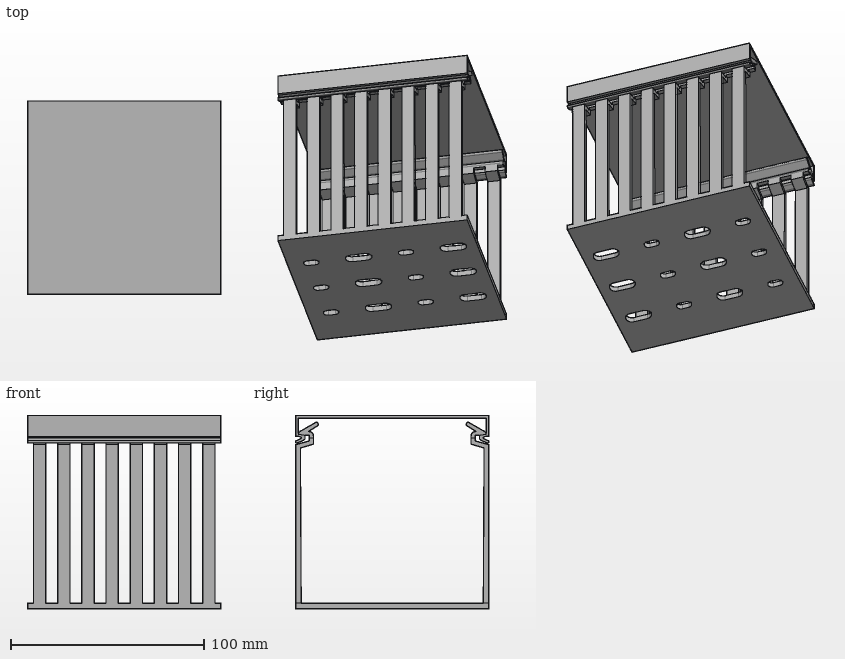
import cadquery as cq

length = 100.0
width = 100.0
height = 100.0
half_width = width / 2

base_thickness = 3.0
wall_root = 3.0
wall_top = 2.6

shoulder_outer_drop = 15.1
shoulder_inner_drop = 16.9
web_outer_inset = 7.0
web_inner_inset = 9.3
web_foot_outer_drop = 13.2
web_foot_inner_drop = 14.9
rail_bottom_drop = 11.7
bulge_end_drop = 10.6

catch_inset = 1.5
catch_drop = 9.8
catch_end_inset = 4.9
catch_end_drop = 10.3

finger_count = 8
finger_width = 6.5
finger_pitch = length / finger_count
slot_width = finger_pitch - finger_width
slot_depth = 12.0

long_hole_length = 13.8
long_hole_width = 6.5
short_hole_length = 8.0
short_hole_width = 4.5
hole_columns = 4
hole_rows = 3
hole_pitch_x = length / hole_columns
hole_pitch_y = width / (hole_rows + 1)

cover_thickness = 1.5
cover_side_drop = 10.8


def place(inset, drop):
    """Turn an inset and a drop at the -Y side into section coordinates (Y, Z)."""
    return (inset - half_width, height - drop)


def extrude_section(section):
    """Extrude a closed YZ section over the full length."""
    return section.close().extrude(length / 2, both=True)


def make_wall():
    """One full-length side wall with its snap rail, at the -Y side."""
    section = (
        cq.Workplane("YZ")
        .moveTo(*place(0, height))
        .lineTo(*place(0, shoulder_outer_drop))
        .lineTo(*place(web_outer_inset, web_foot_outer_drop))
        .lineTo(*place(web_outer_inset, catch_end_drop))
        .lineTo(*place(catch_end_inset, catch_end_drop))
        .lineTo(*place(catch_inset, catch_drop))
        .lineTo(*place(catch_inset, 9.2))
        .lineTo(*place(2.2, 8.3))
        .lineTo(*place(10.6, 3.5))
        .threePointArc(place(11.7, 4.1), place(11.4, 5.4))
        .lineTo(*place(7.7, 7.7))
        .lineTo(*place(6.8, 8.3))
        .lineTo(*place(7.7, 8.4))
        .threePointArc(place(8.8, 9.2), place(web_inner_inset, bulge_end_drop))
        .lineTo(*place(web_inner_inset, web_foot_inner_drop))
        .lineTo(*place(wall_top, shoulder_inner_drop))
        .lineTo(*place(wall_root, height - base_thickness))
        .lineTo(*place(wall_root, height))
    )
    return extrude_section(section)


def make_side_slots():
    """Cutters for the gaps between the fingers of the -Y wall, with half gaps at both ends."""
    slot_height = height - rail_bottom_drop - base_thickness
    centers = [(i * finger_pitch - length / 2, -half_width) for i in range(finger_count + 1)]
    return (
        cq.Workplane("XY", origin=(0, 0, base_thickness))
        .pushPoints(centers)
        .rect(slot_width, 2 * slot_depth)
        .extrude(slot_height)
    )


def make_base_holes():
    """Cutters for rows of holes along X, alternately long and short."""
    holes = cq.Workplane("XY")
    for column in range(hole_columns):
        if column % 2 == 0:
            hole_length, hole_width = long_hole_length, long_hole_width
        else:
            hole_length, hole_width = short_hole_length, short_hole_width
        x = (column - (hole_columns - 1) / 2) * hole_pitch_x
        for row in range(hole_rows):
            y = (row - (hole_rows - 1) / 2) * hole_pitch_y
            hole = cq.Workplane("XY").center(x, y).slot2D(hole_length, hole_width).extrude(base_thickness)
            holes = holes.add(hole)
    return holes.combine()


def make_duct():
    """Base plate with two slotted walls."""
    base = cq.Workplane("XY").box(length, width, base_thickness, centered=(True, True, False))
    base = base.cut(make_base_holes())
    wall = make_wall().cut(make_side_slots())
    return base.union(wall).union(wall.mirror("XZ"))


def make_cover_side():
    """One side of the cover with its folded snap lip, at the -Y side."""
    section = (
        cq.Workplane("YZ")
        .moveTo(*place(0, 0))
        .lineTo(*place(0, cover_side_drop))
        .lineTo(*place(cover_thickness, cover_side_drop))
        .lineTo(*place(2.8, 11.3))
        .lineTo(*place(3.0, 11.8))
        .lineTo(*place(0.7, 12.9))
        .threePointArc(place(0, 13.6), place(0.7, 14.3))
        .lineTo(*place(1.5, 14.1))
        .lineTo(*place(4.0, 13.0))
        .lineTo(*place(catch_end_inset, 12.3))
        .lineTo(*place(catch_end_inset, catch_end_drop))
        .lineTo(*place(catch_inset, catch_drop))
        .lineTo(*place(cover_thickness, 0))
    )
    return extrude_section(section)


def make_cover():
    """Flat top plate with two snap sides."""
    top = cq.Workplane("XY", origin=(0, 0, height - cover_thickness)).box(
        length, width, cover_thickness, centered=(True, True, False)
    )
    side = make_cover_side()
    return top.union(side).union(side.mirror("XZ"))


duct = make_duct()
cover = make_cover()

result = cq.Compound.makeCompound([duct.val(), cover.val()])